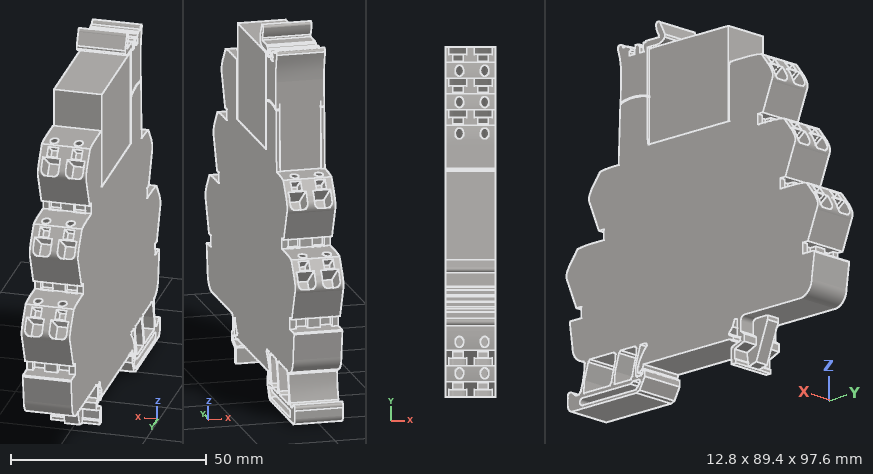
import cadquery as cq
import math


width = 12.8
half_width = width / 2
web = 3.9
side_pocket = (width - web) / 2

rail_seat_z = 7.1
rail_seat_y = (-17.2, 16.1)
base_z = 12.6
base_half = 43.5
base_top_z = 24.3

tier_tip = 44.7
tier_inset = 8.0
tier_pitch = 18.9
first_tier_top = 43.4
notch_inset = 5.3
lip_drop = 16.1
tier_height = first_tier_top - base_top_z

shoulder = (4.0, -0.4)
face_break = (1.1, -4.2)
face_end = (0.4, -5.5)

site_x = 3.2
release_offset = 0.4

relay_front = -15.2
relay_back = 12.9
relay_floor = 65.5
relay_top = 91.1
relay_side_clearance = 0.05
relay_gap = 0.4

post_inner = -15.9
post_foot_z = first_tier_top + tier_pitch
post_outer_foot = -26.2
post_shoulder = (-25.6, 78.5)
clip_joint_z = 80.0

panel_top = (-25.3, 85.9)
panel_foot_y = -25.8
side_wall = 1.0


def prism(sketch, x_start=-half_width, length=width):
    """Extrude a closed YZ outline along +X."""
    return sketch.extrude(length).translate((x_start, 0, 0))


def polygon(points):
    """Closed YZ outline through (y, z) points."""
    return cq.Workplane("YZ").polyline(points).close()


def block(y_range, z_range, x_size=width):
    """Box centred on X, between the given Y and Z limits."""
    return (
        cq.Workplane("XY")
        .box(x_size, y_range[1] - y_range[0], z_range[1] - z_range[0])
        .translate((0, sum(y_range) / 2, sum(z_range) / 2))
    )


def from_both_sides(outline, depth):
    """Cutters of equal depth entering through the -X and +X faces."""
    near = prism(outline, -half_width, depth)
    return near.union(near.mirror("YZ"))


def base():
    chamfer = 0.3
    edge_z = 16.9
    right = (
        cq.Workplane("YZ")
        .moveTo(0, rail_seat_z)
        .lineTo(0, base_top_z)
        .lineTo(base_half - chamfer, base_top_z)
        .lineTo(base_half, base_top_z - chamfer)
        .lineTo(42.6, edge_z)
        .threePointArc((41.3, 13.9), (38.65, base_z))
        .lineTo(0, base_z)
        .close()
    )
    half = prism(right)
    rail_seat = block(rail_seat_y, (rail_seat_z, base_z))
    return half.union(half.mirror("XZ")).union(rail_seat)


def tier_body(tip, top, inner):
    """One tier on the +Y side, running from the inner wall out to its tip."""
    def at(inset, rise):
        return (tip - inset, top + rise)

    outline = (
        cq.Workplane("YZ")
        .moveTo(inner, top)
        .lineTo(*at(8.9, 0))
        .threePointArc(at(6.4, -0.1), at(*shoulder))
        .lineTo(*at(*face_break))
        .lineTo(*at(*face_end))
        .threePointArc(at(0, -6.7), at(0.4, -8.3))
        .lineTo(*at(3.5, -lip_drop))
        .lineTo(*at(notch_inset, -lip_drop))
        .lineTo(*at(notch_inset, -tier_height))
        .lineTo(inner, top - tier_height)
        .close()
    )
    return prism(outline)


def tier_cuts(tip, top):
    """Wire openings, clamp windows, release holes and notch pockets of one +Y tier."""
    run = shoulder[0] - face_end[0]
    fall = shoulder[1] - face_end[1]
    face_length = math.hypot(run, fall)
    down_face = cq.Vector(0, run / face_length, -fall / face_length)
    outward = cq.Vector(0, fall / face_length, run / face_length)

    opening_width = 4.6
    opening_start = 3.4
    opening_length = 4.6
    opening_round = 1.3
    opening_depth = 7.8
    window_width = 2.6
    window_start = 0.6
    window_length = 2.5
    window_depth = 4.4
    release_inset = 6.0
    release_diameter = 2.1
    release_depth = 4.9
    pocket_depth = 2.0
    pocket_width = 3.1
    notch_wall = tip - notch_inset
    clearance = 2.0

    cuts = cq.Workplane("XY")
    for x in (-site_x, site_x):
        face = cq.Plane(
            origin=(x, tip - shoulder[0], top + shoulder[1]),
            xDir=down_face,
            normal=outward,
        )
        opening = (
            cq.Workplane(face)
            .workplane(offset=-opening_depth)
            .center(opening_start + opening_length / 2, 0)
            .rect(opening_length, opening_width)
            .extrude(opening_depth + clearance)
            .edges(cq.selectors.ParallelDirSelector(outward))
            .edges(">Y")
            .fillet(opening_round)
        )
        window = (
            cq.Workplane(face)
            .workplane(offset=-window_depth)
            .center(window_start + window_length / 2, 0)
            .rect(window_length, window_width)
            .extrude(window_depth + clearance)
        )
        mouth = cq.Plane(
            origin=(x + release_offset, tip - release_inset, top),
            xDir=(1, 0, 0),
            normal=(0, 1, 1),
        )
        release = (
            cq.Workplane(mouth)
            .workplane(offset=-release_depth)
            .circle(release_diameter / 2)
            .extrude(release_depth + clearance)
        )
        pocket = block(
            (notch_wall - pocket_depth, notch_wall),
            (top - tier_height, top - lip_drop),
            x_size=pocket_width,
        ).translate((x, 0, 0))
        cuts = cuts.add(opening).add(window).add(release).add(pocket)
    return cuts.combine()


def relay():
    seat = block((post_inner, relay_back + relay_gap), (post_foot_z, relay_floor))
    body = block(
        (relay_front, relay_back),
        (relay_floor, relay_top),
        x_size=width - 2 * relay_side_clearance,
    )
    return seat.union(body)


def relay_gap_lead_in():
    """Small chamfer at the top of the wall behind the relay."""
    wall = relay_back + relay_gap
    top = first_tier_top + 2 * tier_pitch
    return prism(polygon([(wall, top), (wall, top - 0.7), (wall + 0.4, top)]))


def panel_y(z):
    """Y of the sloping front panel at height z."""
    slope = (panel_top[0] - panel_foot_y) / (panel_top[1] - post_foot_z)
    return panel_foot_y + slope * (z - post_foot_z)


def post():
    side = polygon([
        (post_inner + 0.3, post_foot_z),
        (post_inner + 0.3, relay_floor),
        (post_inner, 67.3),
        (post_inner, clip_joint_z),
        (panel_y(clip_joint_z), clip_joint_z),
        post_shoulder,
        (post_outer_foot, post_foot_z),
    ])
    outside = post_outer_foot - 0.5
    recess = polygon([
        (outside, post_foot_z),
        (panel_y(post_foot_z), post_foot_z),
        (panel_y(clip_joint_z), clip_joint_z),
        (outside, clip_joint_z),
    ])
    panel_width = width - 2 * side_wall
    return prism(side).cut(prism(recess, -panel_width / 2, panel_width))


def clip():
    """Retaining clip with a hook over the relay and two grip slots on top."""
    top = 93.4
    land = top - 0.3
    slot_floor = 90.7
    outline = (
        cq.Workplane("YZ")
        .moveTo(post_inner, clip_joint_z)
        .lineTo(post_inner, 91.5)
        .lineTo(-12.7, 91.5)
        .threePointArc((-11.0, 91.8), (-9.7, 92.9))
        .lineTo(-9.7, 93.7)
        .lineTo(-11.2, 96.9)
        .threePointArc((-12.0, 97.6), (-12.9, 96.8))
        .threePointArc((-12.6, 95.5), (-11.9, 94.0))
        .lineTo(-11.9, top)
        .lineTo(-16.4, top)
        .lineTo(-16.7, land)
        .lineTo(-17.3, land)
        .lineTo(-17.5, 92.1)
        .lineTo(-17.2, slot_floor)
        .lineTo(-18.5, slot_floor)
        .lineTo(-18.6, 92.3)
        .lineTo(-19.1, land)
        .lineTo(-20.2, land)
        .lineTo(-20.5, slot_floor)
        .lineTo(-22.3, slot_floor)
        .lineTo(-22.3, 91.7)
        .lineTo(-21.7, 92.1)
        .lineTo(-22.2, land)
        .lineTo(-22.8, land)
        .lineTo(-23.0, top)
        .lineTo(-24.6, top)
        .threePointArc((-25.7, 94.3), (-26.45, top))
        .threePointArc((-25.7, 90.6), panel_top)
        .lineTo(panel_y(clip_joint_z), clip_joint_z)
        .close()
    )
    return prism(outline)


def clip_seam():
    """Arched joint between post and clip, as deep as the side walls of the post."""
    seam = 0.3
    ends_z = 78.7
    crown = (-20.5, 79.4)
    outer = post_shoulder[0] - 0.3
    outline = (
        cq.Workplane("YZ")
        .moveTo(post_inner, ends_z)
        .threePointArc(crown, (outer, ends_z))
        .lineTo(outer, ends_z - seam)
        .threePointArc((crown[0], crown[1] - seam), (post_inner, ends_z - seam))
        .close()
    )
    return from_both_sides(outline, side_wall)


def latch_foot():
    strip = (
        cq.Workplane("YZ")
        .moveTo(18.8, base_z)
        .threePointArc((17.8, 12.2), (17.4, 11.2))
        .lineTo(17.4, 8.4)
        .lineTo(18.5, 7.5)
        .lineTo(18.5, 5.5)
        .lineTo(15.2, 4.1)
        .lineTo(15.2, 1.6)
        .lineTo(15.6, 1.3)
        .lineTo(15.6, 0.3)
        .lineTo(14.0, 0.3)
        .lineTo(14.0, 4.5)
        .lineTo(14.25, 4.9)
        .lineTo(17.1, 6.0)
        .lineTo(17.1, 7.0)
        .lineTo(16.1, 7.0)
        .lineTo(16.1, base_z)
        .close()
    )
    gusset = polygon([
        (22.5, base_z),
        (22.5, 11.4),
        (18.5, 1.0),
        (15.8, 0.3),
        (15.2, 4.1),
        (18.2, 5.9),
        (16.8, 8.4),
        (16.8, base_z),
    ])
    return prism(strip).union(prism(gusset, -web / 2, web))


def latch_slot():
    """Slot that frees the spring foot from the base, with a hooked rail edge."""
    outline = (
        cq.Workplane("YZ")
        .moveTo(16.1, 7.0)
        .lineTo(16.1, 11.5)
        .threePointArc((15.5, 12.1), (14.9, 11.5))
        .lineTo(14.4, 10.2)
        .lineTo(13.1, 8.7)
        .lineTo(13.3, 8.2)
        .lineTo(14.6, 7.7)
        .lineTo(14.6, 7.0)
        .close()
    )
    return prism(outline)


def latch_hook():
    """Small rail edge that points down beside the latch slot."""
    return prism(polygon([
        (14.6, 7.7), (14.6, 6.7), (13.9, 6.7), (13.5, rail_seat_z), (13.3, 8.2),
    ]))


foot_top_z = 4.0
rib_corner = 0.6
rib_window_ends = [(-19.8, -26.0), (-27.2, -36.9)]


def foot():
    rib_root_z = 12.0
    outline = (
        cq.Workplane("YZ")
        .moveTo(-16.5, base_z)
        .lineTo(-16.0, 11.8)
        .lineTo(-17.2, rail_seat_z)
        .lineTo(-17.6, 5.9)
        .lineTo(-16.8, 5.6)
        .lineTo(-16.8, 3.8)
        .lineTo(-18.6, 0.5)
        .lineTo(-19.8, 0)
        .lineTo(-42.9, 0)
        .threePointArc((-43.8, 0.7), (-44.2, 1.8))
        .lineTo(-44.2, 3.9)
        .threePointArc((-43.7, 5.2), (-42.7, 5.1))
        .lineTo(-41.4, foot_top_z)
        .lineTo(-40.3, foot_top_z)
        .lineTo(-39.6, 4.8)
        .threePointArc((-38.6, 8.8), (-38.3, rib_root_z))
        .lineTo(-38.3 - rib_corner, base_z)
        .close()
    )
    return prism(outline)


def rib_window(near, far):
    """Opening between two slanted ribs; near and far are its top corners in Y."""
    return prism(polygon([
        (near, base_z - rib_corner),
        (near - rib_corner, base_z),
        (far + rib_corner, base_z),
        (far, base_z - rib_corner),
        (far - 1.4, 7.4),
        (far - 1.7, foot_top_z),
        (near - 2.05, foot_top_z),
        (near - 1.5, foot_top_z + 0.9),
        (near, 10.7),
    ]))


def rail_hook_slot():
    """Curved slot between the rail hook of the base and the first rib."""
    outline = (
        cq.Workplane("YZ")
        .moveTo(-16.5, base_z)
        .lineTo(-18.3, base_z)
        .lineTo(-18.6, 11.8)
        .lineTo(-20.1, 6.9)
        .lineTo(-20.1, 4.8)
        .lineTo(-19.7, 4.3)
        .lineTo(-18.3, 4.3)
        .lineTo(-17.7, 4.9)
        .lineTo(-17.3, 5.6)
        .lineTo(-16.6, 5.6)
        .lineTo(-16.6, rail_seat_z)
        .lineTo(-17.3, rail_seat_z)
        .lineTo(-17.6, 6.1)
        .lineTo(-18.5, 5.3)
        .lineTo(-19.2, 5.3)
        .lineTo(-19.2, 6.9)
        .threePointArc((-18.3, 8.9), (-16.0, 11.9))
        .close()
    )
    return prism(outline)


def foot_pocket():
    outline = (
        cq.Workplane("YZ")
        .moveTo(-18.3, 2.7)
        .lineTo(-18.9, 3.4)
        .lineTo(-20.9, 3.4)
        .lineTo(-21.9, 2.8)
        .lineTo(-39.0, 2.8)
        .threePointArc((-39.9, 1.9), (-39.0, 0.9))
        .lineTo(-20.0, 0.9)
        .close()
    )
    return from_both_sides(outline, side_pocket)


def on_side(shape, mirrored):
    """A +Y side shape, flipped to the -Y side if mirrored."""
    return shape.mirror("XZ") if mirrored else shape


tiers = [
    (0, False, 0),
    (0, True, 0),
    (1, False, 0),
    (1, True, 0),
    (2, False, relay_back + relay_gap),
]

result = base().union(latch_foot()).union(foot())
openings = []
for level, mirrored, inner in tiers:
    tip = tier_tip - level * tier_inset
    top = first_tier_top + level * tier_pitch
    result = result.union(on_side(tier_body(tip, top, inner), mirrored))
    openings.append(on_side(tier_cuts(tip, top), mirrored))

result = result.union(relay()).union(post()).union(clip())
result = result.cut(clip_seam()).cut(relay_gap_lead_in())

for cuts in openings:
    result = result.cut(cuts)

result = result.cut(latch_slot()).union(latch_hook())
result = result.cut(rail_hook_slot()).cut(foot_pocket())
for near, far in rib_window_ends:
    result = result.cut(rib_window(near, far))